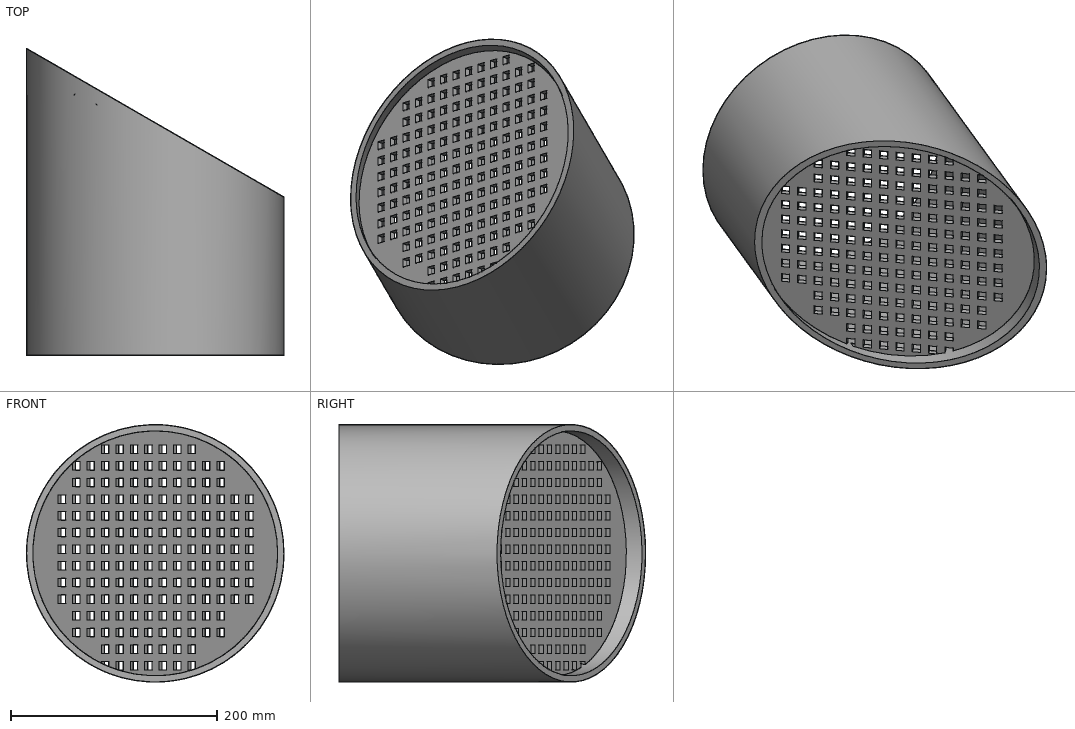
import cadquery as cq
import math

outer_diameter = 250.0
bore_diameter = 237.6
long_side = 297.85
slant_angle = math.radians(30.0)

screen_thickness = 6.0
screen_recess = 15.2

pitch_across_tube = 14.0
hole_pitch = pitch_across_tube / math.cos(slant_angle)
hole_size = hole_pitch / 2

column_count = 14
rows_above_axis = 6
columns_offset = 0.3
first_column_x = columns_offset - (column_count - 1) / 2 * hole_pitch
top_row_z = rows_above_axis * hole_pitch + hole_size / 2

short_row = (3, 9)
medium_row = (1, 11)
long_row = (0, column_count - 1)

hole_rows = [short_row] + [medium_row] * 2 + [long_row] * 7 + [medium_row] * 2 + [short_row] * 2

slant_middle_y = long_side - outer_diameter / 2 * math.tan(slant_angle)

slope_direction = (math.cos(slant_angle), -math.sin(slant_angle), 0)
inward = (-math.sin(slant_angle), -math.cos(slant_angle), 0)

inner_face_recess = screen_recess + screen_thickness / math.cos(slant_angle)


def slant_plane(recess):
    """Plane parallel to the slanted cut, set back along the axis: x down the slope, y along Z."""
    origin = (0, slant_middle_y - recess, 0)
    return cq.Workplane(cq.Plane(origin=origin, xDir=slope_direction, normal=inward))


def cylinder(diameter):
    """Cylinder along Y from the square end to the tip of the tube."""
    return cq.Workplane("XZ").circle(diameter / 2).extrude(-long_side)


def beyond_slant(recess):
    """Block that fills everything on the outer side of a plane parallel to the slanted cut."""
    reach = 2 * long_side
    return slant_plane(recess).rect(reach, reach).extrude(-reach)


def make_tube():
    ring = cylinder(outer_diameter).cut(cylinder(bore_diameter))
    return ring.cut(beyond_slant(0))


def hole_centres():
    centres = []
    for row, (first_column, last_column) in enumerate(hole_rows):
        z = top_row_z - row * hole_pitch
        for column in range(first_column, last_column + 1):
            x = first_column_x + column * hole_pitch
            centres.append((x, z))
    return centres


def make_screen():
    plate = cylinder(bore_diameter).cut(beyond_slant(screen_recess))
    plate = plate.intersect(beyond_slant(inner_face_recess))
    inner_face = slant_plane(inner_face_recess)
    punches = inner_face.pushPoints(hole_centres()).rect(hole_size, hole_size)
    return plate.cut(punches.extrude(-screen_thickness))


tube = make_tube()
screen = make_screen()

result = cq.Compound.makeCompound([tube.val(), screen.val()])